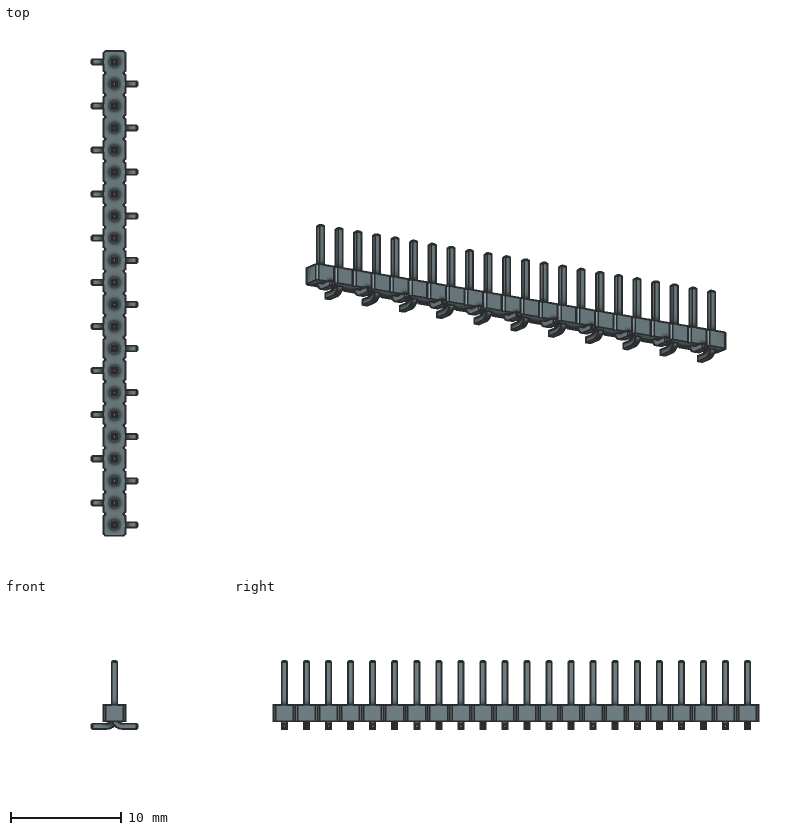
import cadquery as cq

pin_count = 22
pitch = 2.0
housing_width = 2.0
housing_bottom = 0.7
housing_top = 2.2
cell_chamfer = 0.2

wire = 0.5
pin_top = 6.2
foot_reach = 2.1
bend_inner_radius = wire
bend_outer_radius = bend_inner_radius + wire
tip_chamfer = wire / 4


def pin_y(index):
    """Y position of a pin, the row being centred on the origin."""
    return (index - (pin_count - 1) / 2) * pitch


def make_cell():
    """One housing cell, centred on the Z axis."""
    return (
        cq.Workplane("XY")
        .workplane(offset=housing_bottom)
        .rect(housing_width, pitch)
        .extrude(housing_top - housing_bottom)
        .edges("|Z")
        .chamfer(cell_chamfer)
    )


def make_pin():
    """One L-shaped pin on the Z axis, with its foot pointing along +X."""
    half = wire / 2
    bend_x = bend_outer_radius - half
    bend_z = bend_outer_radius
    return (
        cq.Workplane("XZ")
        .moveTo(-half, pin_top)
        .lineTo(-half, bend_z)
        .radiusArc((bend_x, 0), -bend_outer_radius)
        .lineTo(foot_reach, 0)
        .lineTo(foot_reach, wire)
        .lineTo(bend_x, wire)
        .radiusArc((half, bend_z), bend_inner_radius)
        .lineTo(half, pin_top)
        .close()
        .extrude(half, both=True)
        .faces(">Z or >X")
        .edges()
        .chamfer(tip_chamfer)
    )


def make_header():
    """All cells and pins joined; the feet alternate sides, starting at +X."""
    cell = make_cell()
    right_pin = make_pin()
    left_pin = right_pin.rotate((0, 0, 0), (0, 0, 1), 180)
    header = None
    for index in range(pin_count):
        pin = right_pin if index % 2 == 0 else left_pin
        station = cell.union(pin).translate((0, pin_y(index), 0))
        header = station if header is None else header.union(station)
    return header


result = make_header()